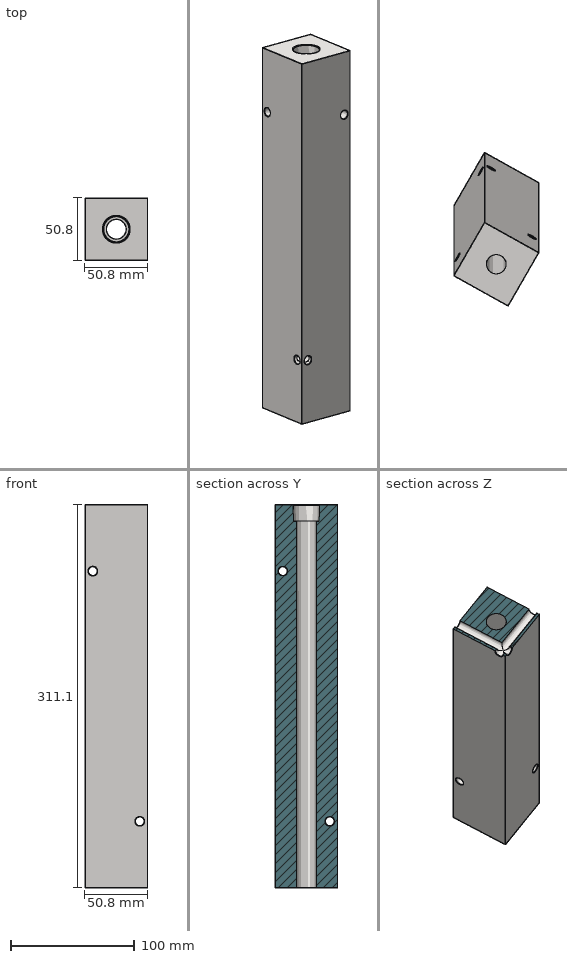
import cadquery as cq

side = 50.8
length = 311.15
edge_chamfer = 0.25

bore_diameter = 15.875
socket_diameter = 21.2
socket_depth = 13.4
socket_taper = 1 / 16
socket_mouth_diameter = 22.6

cross_hole_diameter = 7.14
cross_hole_chamfer = 0.38
cross_hole_offset = 19.05
cross_hole_spacing = 203.2


def make_bar():
    """Square bar centred on the Z axis, standing on Z = 0, with broken edges."""
    bar = cq.Workplane("XY").box(side, side, length, centered=(True, True, False))
    return bar.edges().chamfer(edge_chamfer)


def make_bore():
    """Full-length bore with the tapered, chamfered socket at the top, as a solid of revolution."""
    bore_radius = bore_diameter / 2
    socket_radius = socket_diameter / 2
    mouth_radius = socket_mouth_diameter / 2
    mouth_depth = mouth_radius - socket_radius
    floor_radius = socket_radius - (socket_depth - mouth_depth) * socket_taper / 2
    return (
        cq.Workplane("XZ")
        .lineTo(bore_radius, 0)
        .lineTo(bore_radius, length - socket_depth)
        .lineTo(floor_radius, length - socket_depth)
        .lineTo(socket_radius, length - mouth_depth)
        .lineTo(mouth_radius, length)
        .lineTo(0, length)
        .close()
        .revolve(360, (0, 0, 0), (0, 1, 0))
    )


def make_cross_hole(plane, across, height):
    """Hole right through the bar, normal to the given plane, chamfered at both ends."""
    radius = cross_hole_diameter / 2
    mouth_radius = radius + cross_hole_chamfer
    centre_plane = cq.Workplane(plane).center(across, height)
    hole = centre_plane.circle(radius).extrude(side / 2, both=True)
    for end in (1, -1):
        mouth = (
            centre_plane.workplane(offset=end * side / 2)
            .circle(mouth_radius)
            .workplane(offset=-end * cross_hole_chamfer)
            .circle(radius)
            .loft(combine=False)
        )
        hole = hole.union(mouth)
    return hole


lower_height = (length - cross_hole_spacing) / 2
upper_height = lower_height + cross_hole_spacing

result = make_bar().cut(make_bore())

for side_sign, height in ((1, upper_height), (-1, lower_height)):
    offset = side_sign * cross_hole_offset
    result = result.cut(make_cross_hole("XZ", -offset, height))
    result = result.cut(make_cross_hole("YZ", offset, height))